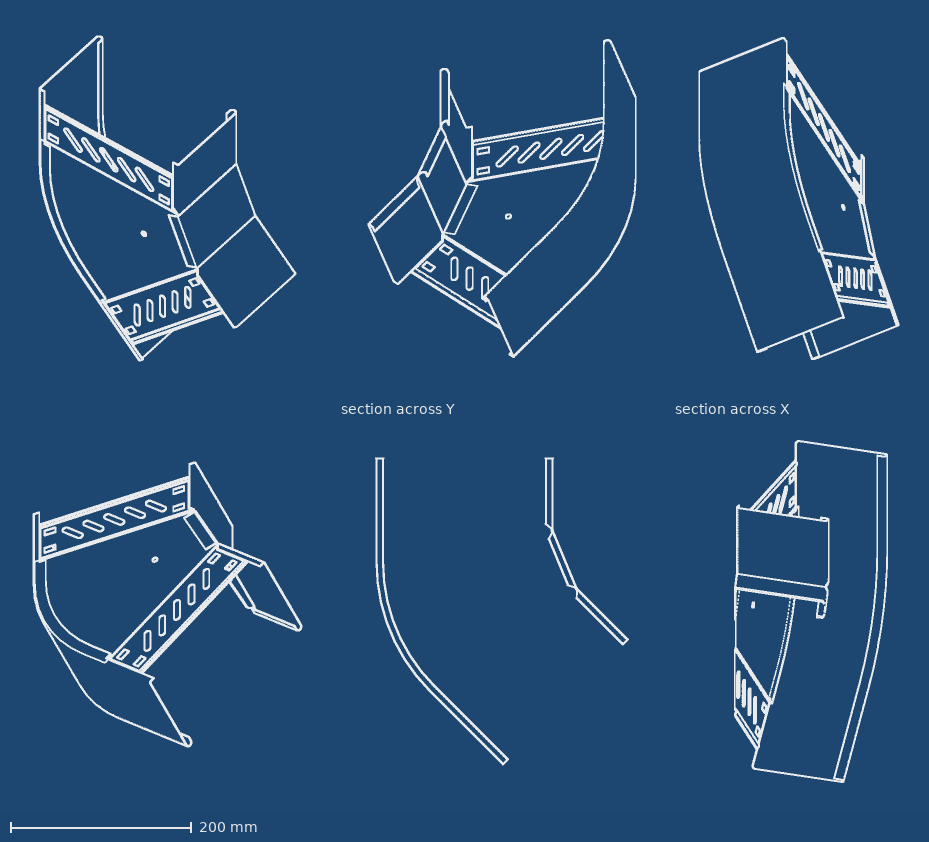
import cadquery as cq
import math


OVERALL_LENGTH = 339.0
BEND_ANGLE = 45.0
OUTER_RADIUS = 201.0
TRAY_WIDTH = 196.0
TRAY_HEIGHT = 107.0
SHEET = 1.0

HALF_ANGLE = math.radians(BEND_ANGLE / 2)
BEND_SINE = math.sin(math.radians(BEND_ANGLE))
BISECTOR_NORMAL = cq.Vector(-math.sin(HALF_ANGLE), 0, math.cos(HALF_ANGLE))
ARM_LENGTH = (OVERALL_LENGTH - OUTER_RADIUS * BEND_SINE) / (1 + BEND_SINE)
OUTER_FACE_X = -OUTER_RADIUS
INNER_FACE_X = TRAY_WIDTH - OUTER_RADIUS
ARM_CENTRE_X = (OUTER_FACE_X + INNER_FACE_X) / 2

FLANGE_WIDTH = 7.5
FLANGE_BEND = 1.7
WIDE_FLANGE_WIDTH = 15.3
HOOK_WIDTH = 8.5
HOOK_BEND = 4.0
HOOK_DROP = 10.2
WIDE_FLANGE_ARM = 34.0

KINK_Z = 35.5
ARM_FLANGE_RELIEF_START = 2.7
ARM_FLANGE_RELIEF_ANGLE = 45.0
CHAMFER_FLANGE_RELIEF_START = 0.7
CHAMFER_FLANGE_RELIEF_ANGLE = 0.0
HOOK_RELIEF_ANGLE = 40.0
CHAMFER_LENGTH = 2 * (KINK_Z * math.cos(HALF_ANGLE) - INNER_FACE_X * math.sin(HALF_ANGLE))

FLOOR_EDGE_GAP = 2.0
STRIP_GAP = 1.5
JOGGLE_START_Z = 37.0
JOGGLE_RUN = 1.7
STRIP_END_Z = 95.0
BEAD_CENTRE_Z = 91.2
BEAD_RADIUS = 1.7
CENTRE_HOLE_DIAMETER = 6.0
CENTRE_HOLE_DISTANCE = 59.0

HOLE_ROW_Z = 64.0
SLOT_COUNT = 5
SLOT_PITCH = 25.0
SLOT_LENGTH = 32.0
SLOT_WIDTH = 7.0
SLOT_ANGLE = -45.0
WINDOW_LENGTH = 13.2
WINDOW_WIDTH = 7.5
WINDOW_X_OFFSET = 77.5
WINDOW_Z_OFFSET = 14.2


def mirrored(body):
    """The body's image in the plane that halves the bend."""
    return body.mirror(BISECTOR_NORMAL, (0, 0, 0))


def mirrored_point(x, z):
    """The X-Z position of a point's image in the same plane."""
    cosine = math.cos(2 * HALF_ANGLE)
    sine = math.sin(2 * HALF_ANGLE)
    return (x * cosine + z * sine, x * sine - z * cosine)


def plan_prism(points, low_y, high_y):
    """Prism over an X-Z outline, between two heights along Y."""
    outline = cq.Workplane("XZ", origin=(0, low_y, 0)).polyline(points).close()
    return outline.extrude(low_y - high_y)


def wall_section(face_x, inward, z, flange_width):
    """Section across a wall, flange at low Y and hook at high Y. Inward is +1 or -1 along X."""

    def at(depth, y):
        return (face_x + inward * depth, y)

    hook_y = TRAY_HEIGHT - HOOK_BEND
    hook_tip_y = TRAY_HEIGHT - HOOK_DROP
    return (
        cq.Workplane("XY", origin=(0, 0, z))
        .moveTo(*at(flange_width, 0))
        .lineTo(*at(FLANGE_BEND, 0))
        .tangentArcPoint(at(0, FLANGE_BEND), relative=False)
        .lineTo(*at(0, hook_y))
        .tangentArcPoint(at(HOOK_BEND, TRAY_HEIGHT), relative=False)
        .lineTo(*at(HOOK_WIDTH - HOOK_BEND, TRAY_HEIGHT))
        .tangentArcPoint(at(HOOK_WIDTH, hook_y), relative=False)
        .lineTo(*at(HOOK_WIDTH, hook_tip_y))
        .lineTo(*at(HOOK_WIDTH - SHEET, hook_tip_y))
        .lineTo(*at(HOOK_WIDTH - SHEET, hook_y))
        .tangentArcPoint(at(HOOK_WIDTH - HOOK_BEND, TRAY_HEIGHT - SHEET), relative=False)
        .lineTo(*at(HOOK_BEND, TRAY_HEIGHT - SHEET))
        .tangentArcPoint(at(SHEET, hook_y), relative=False)
        .lineTo(*at(SHEET, FLANGE_BEND))
        .tangentArcPoint(at(FLANGE_BEND, SHEET), relative=False)
        .lineTo(*at(flange_width, SHEET))
        .close()
    )


def bend_path(radius, arm):
    """Straight arm, arc about the bend axis, and the straight arm's mirror image."""
    arc_middle = (-radius * math.cos(HALF_ANGLE), -radius * math.sin(HALF_ANGLE))
    return (
        cq.Workplane("XZ")
        .moveTo(-radius, arm)
        .lineTo(-radius, 0)
        .threePointArc(arc_middle, mirrored_point(-radius, 0))
        .lineTo(*mirrored_point(-radius, arm))
    )


def build_outer_wall():
    """Curved wall; the flange widens around the bend, where it lies under the floor panel."""
    section = wall_section(OUTER_FACE_X, 1, ARM_LENGTH, FLANGE_WIDTH)
    wall = section.sweep(bend_path(OUTER_RADIUS, ARM_LENGTH))
    wide_flange = (
        cq.Workplane("XY", origin=(0, 0, WIDE_FLANGE_ARM))
        .moveTo(OUTER_FACE_X + FLANGE_BEND, 0)
        .rect(WIDE_FLANGE_WIDTH - FLANGE_BEND, SHEET, centered=False)
        .sweep(bend_path(OUTER_RADIUS, WIDE_FLANGE_ARM))
    )
    return wall.union(wide_flange)


def end_plan(length, relief_start, relief_angle, low_y, high_y):
    """Plan of a wall run along +Z: mitred to the next run near its outer face, relieved inside it."""
    mitre_depth = FLANGE_BEND
    reach = 2 * WIDE_FLANGE_WIDTH
    relief_end = relief_start + (reach - mitre_depth) * math.tan(math.radians(relief_angle))
    return plan_prism(
        [
            (0, length),
            (0, 0),
            (-mitre_depth, -mitre_depth * math.tan(HALF_ANGLE / 2)),
            (-mitre_depth, relief_start),
            (-reach, relief_end),
            (-reach, length),
        ],
        low_y,
        high_y,
    )


def inner_wall_run(length, flange_width, relief_start, relief_angle):
    """Straight piece of the inner wall, from a kink at the origin to a square end along +Z."""
    half_height = TRAY_HEIGHT / 2
    run = wall_section(0, -1, -FLANGE_BEND, flange_width).extrude(length + FLANGE_BEND)
    flange_half = run.intersect(end_plan(length, relief_start, relief_angle, 0, half_height))
    hook_half = run.intersect(
        end_plan(length, FLANGE_BEND, HOOK_RELIEF_ANGLE, half_height, TRAY_HEIGHT)
    )
    return flange_half.union(hook_half)


def build_inner_wall():
    """Two arms joined by the chamfer wall."""
    arm = inner_wall_run(
        ARM_LENGTH - KINK_Z, FLANGE_WIDTH, ARM_FLANGE_RELIEF_START, ARM_FLANGE_RELIEF_ANGLE
    ).translate((INNER_FACE_X, 0, KINK_Z))

    lower_kink_x, lower_kink_z = mirrored_point(INNER_FACE_X, KINK_Z)
    half_chamfer = inner_wall_run(
        CHAMFER_LENGTH / 2,
        WIDE_FLANGE_WIDTH,
        CHAMFER_FLANGE_RELIEF_START,
        CHAMFER_FLANGE_RELIEF_ANGLE,
    )
    half_chamfer = (
        half_chamfer
        .rotate((0, 0, 0), (0, 1, 0), -BEND_ANGLE / 2)
        .translate((lower_kink_x, 0, lower_kink_z))
    )
    upper_half = arm.union(mirrored(half_chamfer))
    lower_half = mirrored(arm).union(half_chamfer)
    return upper_half.union(lower_half).clean()


def strip_holes():
    """Cutters for the slanted slots and the corner windows of the upper strip."""
    depth = 4 * SHEET
    plane = cq.Workplane("XZ", origin=(ARM_CENTRE_X, -SHEET, HOLE_ROW_Z))
    slots = (
        plane.rarray(SLOT_PITCH, 3.5, SLOT_COUNT, 1)
        .slot2D(SLOT_LENGTH, SLOT_WIDTH, SLOT_ANGLE)
        .extrude(-depth)
    )
    windows = (
        plane.rarray(2 * WINDOW_X_OFFSET, 2 * WINDOW_Z_OFFSET, 2, 2)
        .rect(WINDOW_LENGTH, WINDOW_WIDTH)
        .extrude(-depth)
    )
    return slots.union(windows)


def build_strip():
    """Upper connecting strip: joggled down to the flange level, with a bead near its end."""
    joggle_end_z = JOGGLE_START_Z + JOGGLE_RUN
    bead_outer = BEAD_RADIUS + SHEET
    section = (
        cq.Workplane("YZ", origin=(OUTER_FACE_X, 0, 0))
        .moveTo(SHEET, JOGGLE_START_Z)
        .lineTo(0, joggle_end_z)
        .lineTo(0, BEAD_CENTRE_Z - BEAD_RADIUS)
        .threePointArc((BEAD_RADIUS, BEAD_CENTRE_Z), (0, BEAD_CENTRE_Z + BEAD_RADIUS))
        .lineTo(0, STRIP_END_Z)
        .lineTo(SHEET, STRIP_END_Z)
        .lineTo(SHEET, BEAD_CENTRE_Z + bead_outer)
        .threePointArc((bead_outer, BEAD_CENTRE_Z), (SHEET, BEAD_CENTRE_Z - bead_outer))
        .lineTo(SHEET, joggle_end_z)
        .lineTo(2 * SHEET, JOGGLE_START_Z)
        .close()
    )
    left = OUTER_FACE_X + FLANGE_WIDTH + STRIP_GAP
    right = INNER_FACE_X - FLANGE_WIDTH - STRIP_GAP
    relief_z = KINK_Z + FLANGE_WIDTH
    plan = plan_prism(
        [
            (left, JOGGLE_START_Z),
            (left, STRIP_END_Z),
            (right, STRIP_END_Z),
            (right, relief_z),
            (right + relief_z - JOGGLE_START_Z, JOGGLE_START_Z),
        ],
        0,
        bead_outer,
    )
    return section.extrude(TRAY_WIDTH).intersect(plan).cut(strip_holes())


def build_floor():
    """Panel that rests on the flanges, with a strip joined to it at each end."""
    radius = OUTER_RADIUS - FLOOR_EDGE_GAP
    inner_x = INNER_FACE_X - FLOOR_EDGE_GAP
    inner_kink_z = KINK_Z - FLOOR_EDGE_GAP * math.tan(HALF_ANGLE / 2)
    arc_middle = (-radius * math.cos(HALF_ANGLE), -radius * math.sin(HALF_ANGLE))
    panel = (
        cq.Workplane("XZ", origin=(0, SHEET, 0))
        .moveTo(inner_x, inner_kink_z)
        .lineTo(inner_x, JOGGLE_START_Z)
        .lineTo(-radius, JOGGLE_START_Z)
        .lineTo(-radius, 0)
        .threePointArc(arc_middle, mirrored_point(-radius, 0))
        .lineTo(*mirrored_point(-radius, JOGGLE_START_Z))
        .lineTo(*mirrored_point(inner_x, JOGGLE_START_Z))
        .lineTo(*mirrored_point(inner_x, inner_kink_z))
        .close()
        .extrude(-SHEET)
    )
    hole_centre = (
        -CENTRE_HOLE_DISTANCE * math.cos(HALF_ANGLE),
        0,
        -CENTRE_HOLE_DISTANCE * math.sin(HALF_ANGLE),
    )
    hole = cq.Workplane("XZ", origin=hole_centre).circle(CENTRE_HOLE_DIAMETER / 2).extrude(-3 * SHEET)
    strip = build_strip()
    return panel.cut(hole).union(strip).union(mirrored(strip))


outer_wall = build_outer_wall().solids().val()
inner_wall = build_inner_wall().solids().val()
floor = build_floor().solids().val()

result = cq.Compound.makeCompound([outer_wall, inner_wall, floor])